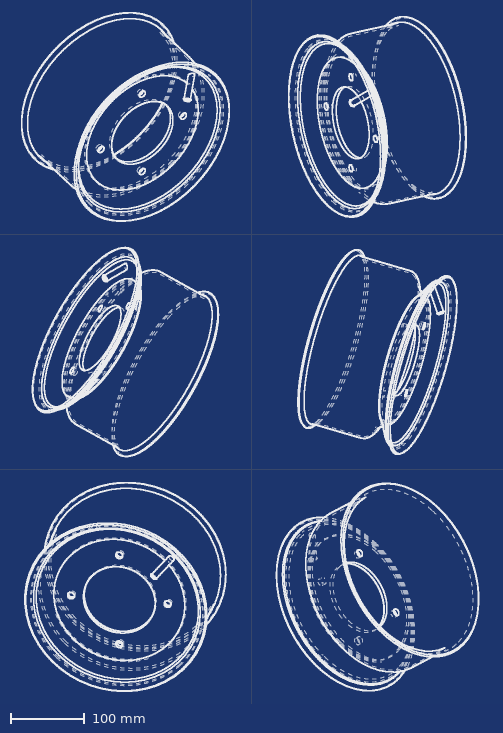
import cadquery as cq
import math

RIM_RADIUS = 126.3
WIDTH = 135.0
WALL = 3.0

SEAT_RADIUS = 118.7
SEAT_INNER = SEAT_RADIUS - WALL
LIP_EDGE_RADIUS = 124.5
LIP_TIP = 2.3
FLARE_OUT = (7.0, 119.7)
FLARE_IN = (5.3, 117.5)
FLARE_OUT_MID = (7.5, 119.0)
FLARE_IN_MID = (6.8, 116.2)
SEAT_START_OUT = 8.3
SEAT_START_IN = 9.0

BARREL_END = 79.5
SHOULDER_END = (86.5, 113.0)
NECK_END = (101.0, 96.3)
SHOULDER_MID = (83.9, 117.0)
NECK_MID = (91.7, 103.0)
GROOVE_BLEND_MID = (103.8, 94.5)
SHOULDER_IN_END = (83.5, 112.0)
NECK_IN_END = (99.5, 93.5)
SHOULDER_IN_MID = (82.4, 114.5)
NECK_IN_MID = (89.0, 100.8)
DISC_BLEND_MID = (102.3, 92.0)

GROOVE_X = 106.4
GROOVE_START = 105.0
GROOVE_RADIUS = 91.7
DISC_LEFT = GROOVE_X - WALL
DISC_RIGHT = GROOVE_X + WALL
DISC_RADIUS = 89.5
BORE_DIAMETER = 99.5
BOLT_DIAMETER = 9.5
BOLT_CIRCLE_RADIUS = 67.0
BOLT_COUNT = 4

CONE_END = (120.8, 114.2)
CONE_SEAT = 125.5
CONE_SHOULDER_MID = (122.8, 117.2)
CONE_IN_MID = (124.5, 115.0)
CONE_ANGLE = math.atan2(CONE_END[1] - GROOVE_RADIUS, CONE_END[0] - GROOVE_X)
CONE_IN_END = (CONE_END[0] + WALL * math.sin(CONE_ANGLE), CONE_END[1] - WALL * math.cos(CONE_ANGLE))
CONE_IN_START_RADIUS = CONE_IN_END[1] - (CONE_IN_END[0] - DISC_RIGHT) * math.tan(CONE_ANGLE)

VALVE_HEAD_X = 138.5
VALVE_HEAD_YZ = 53.8
VALVE_DIRECTION = cq.Vector(1, -1, -1).normalized()
STEM_RADIUS = 4.3
STEM_LENGTH = 41.7
HEAD_RADIUS = 5.3
HEAD_TIP_RADIUS = 3.5
HEAD_LENGTH = 2.0


def revolve_about_x(profile):
    return profile.close().revolve(360, (0, 0, 0), (1, 0, 0))


def make_wheel():
    profile = (
        cq.Workplane("XY")
        .moveTo(0, LIP_EDGE_RADIUS)
        .lineTo(LIP_TIP, RIM_RADIUS)
        .lineTo(*FLARE_OUT)
        .threePointArc(FLARE_OUT_MID, (SEAT_START_OUT, SEAT_RADIUS))
        .lineTo(BARREL_END, SEAT_RADIUS)
        .threePointArc(SHOULDER_MID, SHOULDER_END)
        .threePointArc(NECK_MID, NECK_END)
        .threePointArc(GROOVE_BLEND_MID, (GROOVE_START, GROOVE_RADIUS))
        .lineTo(GROOVE_X, GROOVE_RADIUS)
        .lineTo(*CONE_END)
        .threePointArc(CONE_SHOULDER_MID, (CONE_SEAT, SEAT_RADIUS))
        .lineTo(WIDTH - SEAT_START_OUT, SEAT_RADIUS)
        .threePointArc((WIDTH - FLARE_OUT_MID[0], FLARE_OUT_MID[1]), (WIDTH - FLARE_OUT[0], FLARE_OUT[1]))
        .lineTo(WIDTH - LIP_TIP, RIM_RADIUS)
        .lineTo(WIDTH, LIP_EDGE_RADIUS)
        .lineTo(WIDTH - FLARE_IN[0], FLARE_IN[1])
        .threePointArc((WIDTH - FLARE_IN_MID[0], FLARE_IN_MID[1]), (WIDTH - SEAT_START_IN, SEAT_INNER))
        .threePointArc(CONE_IN_MID, CONE_IN_END)
        .lineTo(DISC_RIGHT, CONE_IN_START_RADIUS)
        .lineTo(DISC_RIGHT, BORE_DIAMETER / 2)
        .lineTo(DISC_LEFT, BORE_DIAMETER / 2)
        .lineTo(DISC_LEFT, DISC_RADIUS)
        .threePointArc(DISC_BLEND_MID, NECK_IN_END)
        .threePointArc(NECK_IN_MID, SHOULDER_IN_END)
        .threePointArc(SHOULDER_IN_MID, (BARREL_END, SEAT_INNER))
        .lineTo(SEAT_START_IN, SEAT_INNER)
        .threePointArc(FLARE_IN_MID, FLARE_IN)
    )
    bolt_holes = (
        cq.Workplane("YZ")
        .polarArray(BOLT_CIRCLE_RADIUS, 0, 360, BOLT_COUNT)
        .circle(BOLT_DIAMETER / 2)
        .extrude(WIDTH)
    )
    return revolve_about_x(profile).cut(bolt_holes)


def make_valve():
    head_centre = cq.Vector(VALVE_HEAD_X, VALVE_HEAD_YZ, VALVE_HEAD_YZ)
    stem_start = head_centre - VALVE_DIRECTION * STEM_LENGTH
    stem = cq.Solid.makeCylinder(STEM_RADIUS, STEM_LENGTH, stem_start, VALVE_DIRECTION)
    head = cq.Solid.makeCone(HEAD_RADIUS, HEAD_TIP_RADIUS, HEAD_LENGTH, head_centre, VALVE_DIRECTION)
    beyond_wall = revolve_about_x(
        cq.Workplane("XY")
        .moveTo(DISC_RIGHT, CONE_IN_START_RADIUS)
        .lineTo(*CONE_IN_END)
        .lineTo(CONE_IN_END[0], RIM_RADIUS)
        .lineTo(DISC_RIGHT, RIM_RADIUS)
    )
    return cq.Workplane(stem).union(cq.Workplane(head)).cut(beyond_wall)


wheel = make_wheel()
valve = make_valve()
result = cq.Compound.makeCompound([wheel.solids().val(), valve.solids().val()])